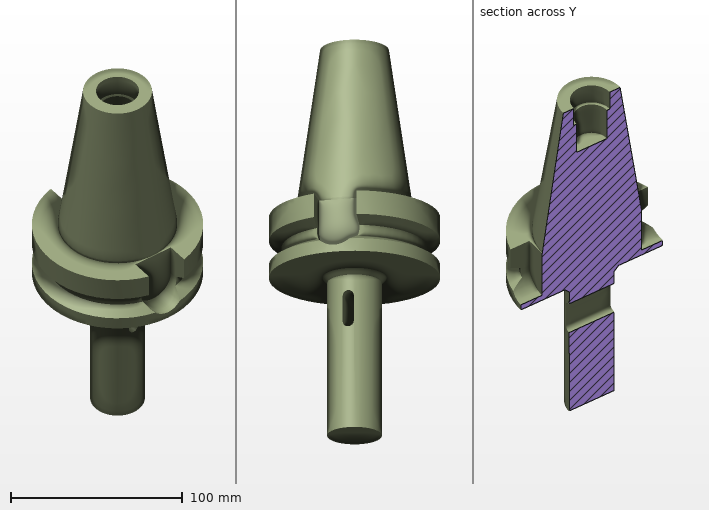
import cadquery as cq

total_height = 236.8
neck_bottom = 93.8
flange_bottom = 96.9
lower_rim_top = 104.7
groove_floor_bottom = 109.0
groove_floor_top = 115.3
upper_rim_bottom = 119.5
flange_top = 134.0
taper_bottom = 135.5

flange_radius = 100.0 / 2
groove_radius = 42.6
shank_radius = 32.0 / 2
neck_radius = 19.0
taper_large_radius = 34.8
taper_small_radius = 20.1

bore_radius = 12.5
bore_depth = 13.3
inner_bore_radius = 10.7
inner_bore_depth = 35.5

key_width = 25.5
key_bottom = 101.0
key_inner_x = 35.0

slot_width = 6.6
slot_bottom = 62.0
slot_top = 84.3


def turned_body():
    """Shank, grooved flange and taper as one revolved profile."""
    profile = [
        (0, 0),
        (shank_radius, 0),
        (shank_radius, neck_bottom),
        (neck_radius, flange_bottom),
        (flange_radius, flange_bottom),
        (flange_radius, lower_rim_top),
        (groove_radius, groove_floor_bottom),
        (groove_radius, groove_floor_top),
        (flange_radius, upper_rim_bottom),
        (flange_radius, flange_top),
        (taper_large_radius, flange_top),
        (taper_large_radius, taper_bottom),
        (taper_small_radius, total_height),
        (0, total_height),
    ]
    return cq.Workplane("XZ").polyline(profile).close().revolve(360, (0, 0), (0, 1))


def top_bore(radius, depth):
    """Cylinder reaching down from the small end of the taper."""
    return cq.Workplane("XY").workplane(offset=total_height - depth).circle(radius).extrude(depth)


def keyway(side):
    """Round-bottomed keyway cutter; side is +1 or -1 along X."""
    half_width = key_width / 2
    arc_start = key_bottom + half_width
    return (
        cq.Workplane("YZ")
        .workplane(offset=side * key_inner_x)
        .moveTo(-half_width, flange_top)
        .lineTo(-half_width, arc_start)
        .threePointArc((0, key_bottom), (half_width, arc_start))
        .lineTo(half_width, flange_top)
        .close()
        .extrude(side * (flange_radius - key_inner_x))
    )


def shank_slot():
    """Round-ended slot running along X through the shank."""
    return (
        cq.Workplane("YZ")
        .center(0, (slot_bottom + slot_top) / 2)
        .slot2D(slot_top - slot_bottom, slot_width, 90)
        .extrude(shank_radius, both=True)
    )


result = turned_body()
result = result.cut(top_bore(bore_radius, bore_depth))
result = result.cut(top_bore(inner_bore_radius, inner_bore_depth))
for side in (-1, 1):
    result = result.cut(keyway(side))
result = result.cut(shank_slot())